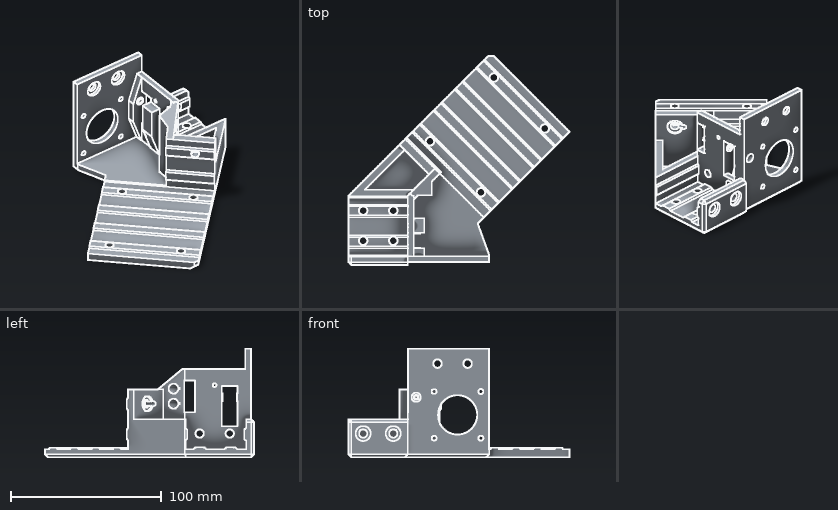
import math

import cadquery as cq


FLOOR = 5.4
PLATE_THICK = 4.0
CHAMFER = 2.0
OVERLAP = 0.3
REACH = 200.0
EDGE_TOLERANCE = 0.05

GRID = 20.0
RIB_TOP_WIDTH = 6.1
RIB_HEIGHT = 1.2
SCREW_HOLE = 5.5
SIDE_SCREW_HOLE = 5.4

BAY_LENGTH = 39.5
FLANGE_THICK = 5.4
FLANGE_RIB_HEIGHT = 1.3
LOW_WALL_TOP = FLOOR + GRID
CHANNEL_BACK = 45.6
BACK_EDGE = 46.0
BACK_RIB_HEIGHT = 1.0
FLOOR_RIBS_Y = (15.5, 36.0)
WALL_RIBS_Z = (15.3, 35.4)
CHANNEL_HOLES_X = [9.8 + GRID * i for i in range(2)]
CHANNEL_HOLES_Y = [16.2 + GRID * i for i in range(2)]
CHANNEL_HOLES_Z = 15.8
FLANGE_COUNTERBORE = 10.0
FLANGE_COUNTERBORE_DEPTH = 2.0

PLATE_FRONT = 2.0
PLATE_BACK = PLATE_FRONT + PLATE_THICK
PLATE_WIDTH = 54.0
PLATE_RIGHT = BAY_LENGTH + PLATE_WIDTH
PLATE_TOP = 72.24
PLATE_FOOT_Y = 7.0
MOTOR_X = 72.5
MOTOR_Z = 28.2
MOTOR_BORE = 26.0
MOTOR_SCREW_PITCH = 31.0
MOTOR_SCREW_HOLE = 3.2
MOTOR_FLOOR = FLOOR + RIB_HEIGHT
PLATE_HOLES_X = [59.2 + GRID * i for i in range(2)]
PLATE_HOLES_Z = PLATE_TOP - GRID / 2
PLATE_COUNTERBORE = 10.5
PLATE_COUNTERBORE_DEPTH = 2.0

SIDE_BACK = BAY_LENGTH + PLATE_THICK
SIDE_TOP = 58.8
SENSOR_HOLE = 2.35
SENSOR_HOLE_Y = 26.3
SENSOR_HOLE_Z = 48.0
BACK_WINDOW_START = 39.4
BACK_WINDOW_END = 46.4
BACK_WINDOW_BOTTOM = 30.0
BACK_WINDOW_TOP = 50.9
BACK_WINDOW_DEPTH = 10.5

IDLER_START = 11.1
IDLER_END = 21.35
IDLER_WINDOW_BOTTOM = 20.8
IDLER_WINDOW_TOP = 47.3
PIN_X = 45.0
PIN_Z = 39.9
PIN_HOLE = 3.2
PIN_THREAD_HOLE = 2.35
PIN_THREAD_DEPTH = 8.0
PIN_HEAD = 6.1
PIN_HEAD_DEPTH = 6.5
PAD_DIAMETER = 5.2
PAD_HEIGHT = 0.5
BOSS_OUTER_X = 50.4
BOSS_SLOPE_HEIGHT = 19.2
BACK_BOSS_LENGTH = 9.7
BACK_BOSS_TOP = 44.5

ANGLE = 45.0
ROOT2 = math.sqrt(2)
OVERALL_X = 146.96
ARM_W_MIN = -41.3
ARM_W_MAX = BACK_EDGE / ROOT2
ARM_END = OVERALL_X * ROOT2 + ARM_W_MIN
ARM_CORNER_CUT = 2.43
ARM_INNER_CORNER_X = 86.0
ARM_RIB_COUNT = 4
FIRST_ARM_RIB = 10.45
ARM_RIB_HEIGHT = 1.05
ARM_HOLES_W = (19.8, -28.1)

TALL_FRONT_U = 80.5
TALL_BACK_U = 86.0
TALL_TOP = 45.1
ARM_RIBS_U = [TALL_BACK_U + FIRST_ARM_RIB + GRID * i for i in range(ARM_RIB_COUNT)]
POCKET_START_Y = 50.0
POCKET_W_MAX = 27.7
TALL_HOLE_W = 19.6
TALL_HOLE_Z = 35.6
TALL_COUNTERBORE = 10.0
TALL_COUNTERBORE_DEPTH = 1.5

BRACE_W_MIN = 0.1
BRACE_W_MAX = 4.74
BRACE_SLOPE_START_U = 62.6
BLOCK_RIGHT = 55.4
BLOCK_FRONT = 46.4
BLOCK_HOLE_X = 46.9
BLOCK_HOLES_Z = (TALL_HOLE_Z, TALL_HOLE_Z + GRID / 2)
BLOCK_SCREW_HOLE = 3.2
BLOCK_HEAD_HOLE = 6.5
BLOCK_HEAD_START_Y = 49.5
BLOCK_HEAD_LENGTH = 9.5
ACCESS_HOLE_END_Y = 72.5

X_AXIS = (1, 0, 0)
Y_AXIS = (0, 1, 0)
Z_AXIS = (0, 0, 1)


def box(x_range, y_range, z_range):
    sizes = [high - low for low, high in (x_range, y_range, z_range)]
    corner = (x_range[0], y_range[0], z_range[0])
    return cq.Workplane("XY").box(*sizes, centered=False).translate(corner)


def cylinder(diameter, length, start, direction):
    solid = cq.Solid.makeCylinder(diameter / 2, length, cq.Vector(*start), cq.Vector(*direction))
    return cq.Workplane(obj=solid)


def prism(points, z_start, z_end):
    """Upright prism over an outline in XY."""
    outline = cq.Workplane("XY").workplane(offset=z_start).polyline(points).close()
    return outline.extrude(z_end - z_start)


def turned(shape):
    """Moves a shape from the arm's U, W frame to X, Y."""
    return shape.rotate((0, 0, 0), Z_AXIS, ANGLE)


def arm_point(u, w):
    return ((u - w) / ROOT2, (u + w) / ROOT2)


def rib(length, height):
    """Trapezoidal rib along +X from the origin, standing on Z = 0 with a short root below it."""
    half_top = RIB_TOP_WIDTH / 2
    half_base = half_top + height
    profile = [
        (-half_base, -OVERLAP),
        (half_base, -OVERLAP),
        (half_base, 0),
        (half_top, height),
        (-half_top, height),
        (-half_base, 0),
    ]
    return cq.Workplane("YZ").polyline(profile).close().extrude(length)


PLATE_FOOT = (PLATE_RIGHT, PLATE_FOOT_Y)
ARM_INNER_CORNER = (ARM_INNER_CORNER_X, ARM_INNER_CORNER_X + ARM_W_MIN * ROOT2)
ARM_CUT_RIGHT = arm_point(ARM_END, ARM_W_MAX - ARM_CORNER_CUT)
ARM_CUT_LEFT = arm_point(ARM_END - ARM_CORNER_CUT, ARM_W_MAX)
CHANNEL_CORNER = (0, BACK_EDGE)


def midpoint(a, b):
    return ((a[0] + b[0]) / 2, (a[1] + b[1]) / 2, 0)


def chamfered_edge_midpoints():
    bottom_edges = [
        ((0, 0), (BAY_LENGTH, 0)),
        ((BAY_LENGTH, 0), (BAY_LENGTH, PLATE_FRONT)),
        ((BAY_LENGTH, PLATE_FRONT), (PLATE_RIGHT, PLATE_FRONT)),
        ((PLATE_RIGHT, PLATE_FRONT), PLATE_FOOT),
        (PLATE_FOOT, ARM_INNER_CORNER),
        (ARM_CUT_RIGHT, ARM_CUT_LEFT),
        (ARM_CUT_LEFT, CHANNEL_CORNER),
        (CHANNEL_CORNER, (0, 0)),
    ]
    flange_edges = [
        (0, 0, LOW_WALL_TOP / 2),
        (BAY_LENGTH / 2, 0, LOW_WALL_TOP),
        (0, FLANGE_THICK / 2, LOW_WALL_TOP),
    ]
    return [midpoint(*ends) for ends in bottom_edges] + flange_edges


def edges_at(body, points):
    """The edges whose centres lie at the given points."""
    found = []
    for point in points:
        low = [c - EDGE_TOLERANCE for c in point]
        high = [c + EDGE_TOLERANCE for c in point]
        found += body.edges(cq.selectors.BoxSelector(low, high)).vals()
    return body.newObject(found)


def base_flange_and_plate():
    outline = [
        (0, 0),
        (BAY_LENGTH, 0),
        (BAY_LENGTH, PLATE_FRONT),
        (PLATE_RIGHT, PLATE_FRONT),
        PLATE_FOOT,
        ARM_INNER_CORNER,
        arm_point(ARM_END, ARM_W_MIN),
        ARM_CUT_RIGHT,
        ARM_CUT_LEFT,
        CHANNEL_CORNER,
    ]
    body = prism(outline, 0, FLOOR)
    body = body.union(box((0, BAY_LENGTH), (0, FLANGE_THICK), (0, LOW_WALL_TOP)))
    body = body.union(box((BAY_LENGTH, PLATE_RIGHT), (PLATE_FRONT, PLATE_BACK), (0, PLATE_TOP)))
    return edges_at(body, chamfered_edge_midpoints()).chamfer(CHAMFER)


def motor_floor():
    """Raised floor of the motor space, up to the line of the tall wall's back face."""
    outline = [
        (BAY_LENGTH, PLATE_FRONT),
        (PLATE_RIGHT, PLATE_FRONT),
        PLATE_FOOT,
        ARM_INNER_CORNER,
        arm_point(TALL_BACK_U, ARM_W_MIN),
        arm_point(TALL_BACK_U, BRACE_W_MIN),
        (BAY_LENGTH, BAY_LENGTH),
    ]
    return prism(outline, FLOOR - CHAMFER, MOTOR_FLOOR)


def side_wall():
    length_end = BAY_LENGTH + BRACE_W_MAX * ROOT2
    return box((BAY_LENGTH, SIDE_BACK), (PLATE_FRONT, length_end), (FLOOR - OVERLAP, SIDE_TOP))


def pocket_walls():
    """Low walls behind the channel, around a pocket that reaches down to the floor."""
    outline = [
        (0, CHANNEL_BACK),
        (SIDE_BACK, CHANNEL_BACK),
        arm_point(TALL_BACK_U, BRACE_W_MIN),
        arm_point(TALL_BACK_U, ARM_W_MAX),
        CHANNEL_CORNER,
    ]
    pocket = turned(box((0, TALL_FRONT_U), (BRACE_W_MAX, POCKET_W_MAX), (FLOOR, REACH)))
    pocket = pocket.intersect(box((0, REACH), (POCKET_START_Y, REACH), (0, REACH)))
    return prism(outline, FLOOR - OVERLAP, LOW_WALL_TOP).cut(pocket)


def tall_wall():
    u_range = (TALL_FRONT_U, TALL_BACK_U)
    return turned(box(u_range, (BRACE_W_MIN, ARM_W_MAX), (FLOOR - OVERLAP, TALL_TOP)))


def brace_and_block():
    z_range = (FLOOR - OVERLAP, SIDE_TOP)
    brace = turned(box((0, TALL_BACK_U), (BRACE_W_MIN, BRACE_W_MAX), z_range))
    brace = brace.intersect(box((BAY_LENGTH, REACH), (0, REACH), z_range))
    corner = [
        (SIDE_BACK, BLOCK_FRONT),
        (BLOCK_RIGHT, BLOCK_FRONT),
        (BLOCK_RIGHT, BLOCK_RIGHT + BRACE_W_MAX),
    ]
    block = prism(corner, *z_range)
    side_profile = [
        (0, 0),
        (TALL_BACK_U, 0),
        (TALL_BACK_U, TALL_TOP),
        (BRACE_SLOPE_START_U, SIDE_TOP),
        (0, SIDE_TOP),
    ]
    below_slope = cq.Workplane("XZ").polyline(side_profile).close().extrude(REACH, both=True)
    return brace.union(block).intersect(turned(below_slope))


def channel_ribs():
    ribs = [rib(BAY_LENGTH, RIB_HEIGHT).translate((0, y, FLOOR)) for y in FLOOR_RIBS_Y]
    flange_rib = rib(BAY_LENGTH, FLANGE_RIB_HEIGHT).rotate((0, 0, 0), X_AXIS, -90)
    ribs.append(flange_rib.translate((0, FLANGE_THICK, WALL_RIBS_Z[0])))
    back_rib = rib(BAY_LENGTH, BACK_RIB_HEIGHT).rotate((0, 0, 0), X_AXIS, 90)
    ribs.append(back_rib.translate((0, CHANNEL_BACK, WALL_RIBS_Z[0])))
    return ribs


def arm_ribs():
    floor_rib = rib(ARM_W_MAX - ARM_W_MIN, ARM_RIB_HEIGHT).rotate((0, 0, 0), Z_AXIS, 90)
    wall_rib = rib(ARM_W_MAX - BRACE_W_MIN, RIB_HEIGHT).rotate((0, 0, 0), Z_AXIS, 90)
    wall_rib = wall_rib.rotate((0, 0, 0), Y_AXIS, 90)
    ribs = [floor_rib.translate((u, ARM_W_MIN, FLOOR)) for u in ARM_RIBS_U]
    ribs += [wall_rib.translate((TALL_BACK_U, BRACE_W_MIN, z)) for z in WALL_RIBS_Z]
    return [turned(shape) for shape in ribs]


def boss(y_start, y_end, outer_top, wall_top):
    """Boss on the side wall: it widens upwards from the floor, then ends between two top heights."""
    profile = [
        (BAY_LENGTH, FLOOR),
        (SIDE_BACK, FLOOR),
        (BOSS_OUTER_X, FLOOR + BOSS_SLOPE_HEIGHT),
        (BOSS_OUTER_X, outer_top),
        (SIDE_BACK, wall_top),
        (BAY_LENGTH, wall_top),
    ]
    shape = cq.Workplane("XZ").polyline(profile).close().extrude(y_start - y_end)
    return shape.translate((0, y_start, 0))


def idler_bosses():
    front_boss = boss(PLATE_FRONT, IDLER_START, SIDE_TOP - BOSS_SLOPE_HEIGHT, SIDE_TOP)
    back_boss = boss(IDLER_END, IDLER_END + BACK_BOSS_LENGTH, BACK_BOSS_TOP, BACK_BOSS_TOP)
    return front_boss.union(back_boss)


def idler_pads():
    pad_length = PAD_HEIGHT + OVERLAP
    front_pad = cylinder(PAD_DIAMETER, pad_length, (PIN_X, IDLER_START - OVERLAP, PIN_Z), Y_AXIS)
    back_pad = cylinder(PAD_DIAMETER, pad_length, (PIN_X, IDLER_END - PAD_HEIGHT, PIN_Z), Y_AXIS)
    return front_pad.union(back_pad)


def side_wall_windows():
    idler_window = box(
        (BAY_LENGTH, SIDE_BACK),
        (IDLER_START, IDLER_END),
        (IDLER_WINDOW_BOTTOM, IDLER_WINDOW_TOP),
    )
    back_window = box(
        (BAY_LENGTH, BAY_LENGTH + BACK_WINDOW_DEPTH),
        (BACK_WINDOW_START, BACK_WINDOW_END),
        (BACK_WINDOW_BOTTOM, BACK_WINDOW_TOP),
    )
    return [idler_window, back_window]


def idler_pin_holes():
    thread_start = (PIN_X, IDLER_END - PAD_HEIGHT, PIN_Z)
    return [
        cylinder(PIN_HEAD, PIN_HEAD_DEPTH, (PIN_X, PLATE_FRONT, PIN_Z), Y_AXIS),
        cylinder(PIN_HOLE, IDLER_START + PAD_HEIGHT, (PIN_X, 0, PIN_Z), Y_AXIS),
        cylinder(PIN_THREAD_HOLE, PIN_THREAD_DEPTH, thread_start, Y_AXIS),
    ]


def channel_holes():
    holes = []
    for x in CHANNEL_HOLES_X:
        flange_start = (x, 0, CHANNEL_HOLES_Z)
        holes.append(cylinder(SCREW_HOLE, FLANGE_THICK + RIB_HEIGHT * 2, flange_start, Y_AXIS))
        holes.append(cylinder(FLANGE_COUNTERBORE, FLANGE_COUNTERBORE_DEPTH, flange_start, Y_AXIS))
        holes += [cylinder(SCREW_HOLE, FLOOR * 2, (x, y, 0), Z_AXIS) for y in CHANNEL_HOLES_Y]
    for y in CHANNEL_HOLES_Y:
        start = (BAY_LENGTH, y, CHANNEL_HOLES_Z)
        holes.append(cylinder(SIDE_SCREW_HOLE, PLATE_THICK * 2, start, X_AXIS))
    sensor_start = (BAY_LENGTH, SENSOR_HOLE_Y, SENSOR_HOLE_Z)
    holes.append(cylinder(SENSOR_HOLE, PLATE_THICK * 2, sensor_start, X_AXIS))
    return holes


def plate_holes():
    holes = [cylinder(MOTOR_BORE, PLATE_BACK, (MOTOR_X, 0, MOTOR_Z), Y_AXIS)]
    half_pitch = MOTOR_SCREW_PITCH / 2
    for x in (MOTOR_X - half_pitch, MOTOR_X + half_pitch):
        for z in (MOTOR_Z - half_pitch, MOTOR_Z + half_pitch):
            holes.append(cylinder(MOTOR_SCREW_HOLE, PLATE_BACK, (x, 0, z), Y_AXIS))
    for x in PLATE_HOLES_X:
        holes.append(cylinder(SCREW_HOLE, PLATE_BACK, (x, 0, PLATE_HOLES_Z), Y_AXIS))
        rear_start = (x, PLATE_BACK - PLATE_COUNTERBORE_DEPTH, PLATE_HOLES_Z)
        holes.append(cylinder(PLATE_COUNTERBORE, PLATE_COUNTERBORE_DEPTH, rear_start, Y_AXIS))
    return holes


def block_holes():
    """Counterbored screw holes along Y through the block; the lower one runs on into the tall wall."""
    holes = []
    for z in BLOCK_HOLES_Z:
        head_start = (BLOCK_HOLE_X, BLOCK_HEAD_START_Y, z)
        holes.append(cylinder(BLOCK_HEAD_HOLE, BLOCK_HEAD_LENGTH, head_start, Y_AXIS))
        screw_length = BLOCK_HEAD_START_Y - BLOCK_FRONT
        holes.append(cylinder(BLOCK_SCREW_HOLE, screw_length, (BLOCK_HOLE_X, BLOCK_FRONT, z), Y_AXIS))
    access_start = (BLOCK_HOLE_X, BLOCK_FRONT, BLOCK_HOLES_Z[0])
    holes.append(cylinder(BLOCK_SCREW_HOLE, ACCESS_HOLE_END_Y - BLOCK_FRONT, access_start, Y_AXIS))
    return holes


def arm_holes():
    wall_start = (TALL_FRONT_U, TALL_HOLE_W, TALL_HOLE_Z)
    wall_depth = TALL_BACK_U - TALL_FRONT_U + RIB_HEIGHT * 2
    holes = [
        cylinder(SIDE_SCREW_HOLE, wall_depth, wall_start, X_AXIS),
        cylinder(TALL_COUNTERBORE, TALL_COUNTERBORE_DEPTH, wall_start, X_AXIS),
    ]
    for u in (ARM_RIBS_U[0], ARM_RIBS_U[-1]):
        holes += [cylinder(SCREW_HOLE, FLOOR * 2, (u, w, 0), Z_AXIS) for w in ARM_HOLES_W]
    return [turned(hole) for hole in holes]


def bracket():
    body = base_flange_and_plate()
    walls = [motor_floor(), side_wall(), pocket_walls(), tall_wall(), brace_and_block()]
    for shape in walls + channel_ribs() + arm_ribs() + [idler_bosses()]:
        body = body.union(shape)
    for window in side_wall_windows():
        body = body.cut(window)
    body = body.union(idler_pads())
    for hole in idler_pin_holes() + channel_holes() + plate_holes() + block_holes() + arm_holes():
        body = body.cut(hole)
    return body


result = bracket()